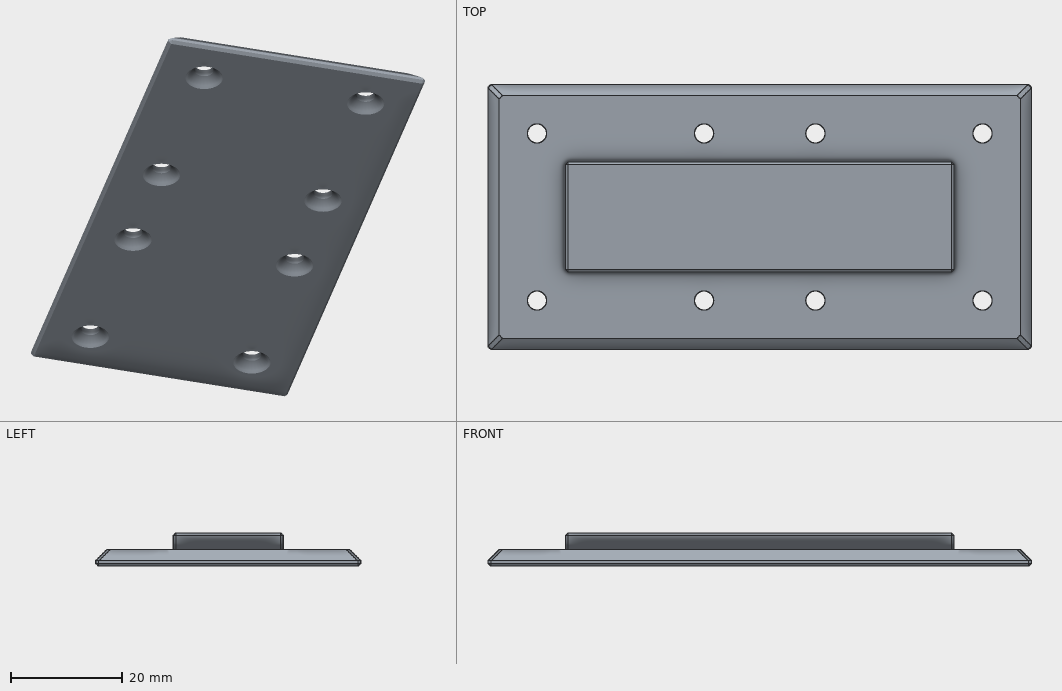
import cadquery as cq

PLATE_LENGTH = 97.6
PLATE_WIDTH = 47.6
PLATE_THICKNESS = 3.0
PLATE_BEVEL = 2.0

TOTAL_HEIGHT = 6.0
PAD_LENGTH = 69.8
PAD_WIDTH = 19.8
PAD_HEIGHT = TOTAL_HEIGHT - PLATE_THICKNESS

EDGE_CHAMFER = 0.5

HOLE_DIAMETER = 3.4
COUNTERSINK_DIAMETER = 6.7
COUNTERSINK_DEPTH = (COUNTERSINK_DIAMETER - HOLE_DIAMETER) / 2
HOLE_OUTER_X = 40.0
HOLE_INNER_X = 10.0
HOLE_Y = 15.0


def make_plate():
    """Plate with a wide top bevel and chamfered corners and bottom edge."""
    plate = cq.Workplane("XY").box(
        PLATE_LENGTH, PLATE_WIDTH, PLATE_THICKNESS, centered=(True, True, False)
    )
    plate = plate.faces(">Z").edges().chamfer(PLATE_BEVEL)
    return plate.edges("(not #Z) or <Z").chamfer(EDGE_CHAMFER)


def make_pad():
    """Rectangular pad standing on the plate, with chamfered corners and top edge."""
    pad = (
        cq.Workplane("XY")
        .workplane(offset=PLATE_THICKNESS)
        .box(PAD_LENGTH, PAD_WIDTH, PAD_HEIGHT, centered=(True, True, False))
    )
    return pad.edges("|Z or >Z").chamfer(EDGE_CHAMFER)


def make_holes():
    """Cutting bodies for the two rows of four countersunk holes."""
    columns = (-HOLE_OUTER_X, -HOLE_INNER_X, HOLE_INNER_X, HOLE_OUTER_X)
    centres = [(x, y) for x in columns for y in (-HOLE_Y, HOLE_Y)]
    hole_radius = HOLE_DIAMETER / 2
    cone = cq.Solid.makeCone(COUNTERSINK_DIAMETER / 2, hole_radius, COUNTERSINK_DEPTH)
    bores = cq.Workplane("XY").pushPoints(centres).circle(hole_radius).extrude(PLATE_THICKNESS)
    countersinks = cq.Workplane("XY").pushPoints(centres).eachpoint(cone)
    return bores.union(countersinks)


result = make_plate().union(make_pad()).cut(make_holes())